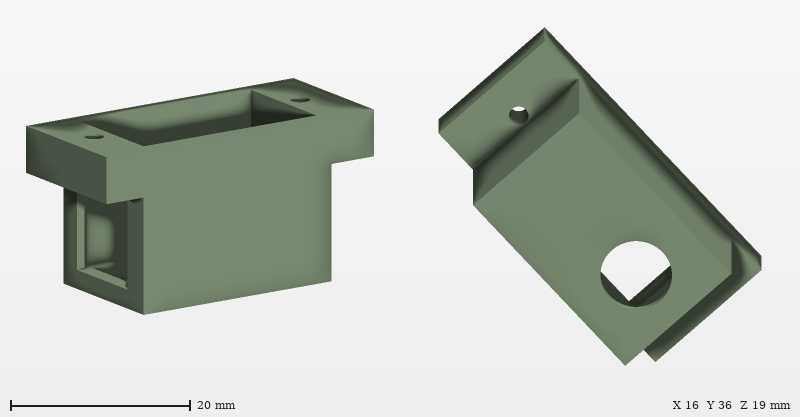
import cadquery as cq


width = 16.0
flange_length = 36.0
total_height = 19.0

flange_thickness = 5.45
front_overhang = 5.0
back_overhang = 5.72
flange_front = -flange_length / 2
flange_underside = total_height - flange_thickness
body_front = flange_front + front_overhang
body_back = flange_length / 2 - back_overhang

end_wall = 1.0
cavity_width = 13.0
floor_thickness = 2.2
cavity_front = body_front + end_wall
cavity_back = body_back - end_wall

window_width = 10.0
window_offset = -0.25

recess_size = 10.22
recess_depth = 1.1
bore_diameter = 8.0
bore_y = flange_front + 12.0

screw_diameter = 2.2
front_screw_y = flange_front + 3.75
back_screw_y = flange_front + 31.5


def block(size_x, y_range, z_range, x=0):
    """Box centred on x, spanning the given Y and Z ranges."""
    y_min, y_max = y_range
    z_min, z_max = z_range
    box = cq.Workplane("XY").box(size_x, y_max - y_min, z_max - z_min, centered=(True, False, False))
    return box.translate((x, y_min, z_min))


def vertical_hole(diameter, y):
    """Cutter for a hole through the full height, on the X centreline."""
    return cq.Workplane("XY").center(0, y).circle(diameter / 2).extrude(total_height)


flange = block(width, (flange_front, flange_length / 2), (flange_underside, total_height))
housing = block(width, (body_front, body_back), (0, flange_underside))
cavity = block(cavity_width, (cavity_front, cavity_back), (floor_thickness, total_height))
window = block(window_width, (body_front, cavity_front), (floor_thickness, flange_underside), window_offset)
recess = block(
    recess_size,
    (bore_y - recess_size / 2, bore_y + recess_size / 2),
    (floor_thickness - recess_depth, floor_thickness),
)

result = flange.union(housing).cut(cavity).cut(window).cut(recess)
result = result.cut(vertical_hole(bore_diameter, bore_y))
for screw_y in (front_screw_y, back_screw_y):
    result = result.cut(vertical_hole(screw_diameter, screw_y))